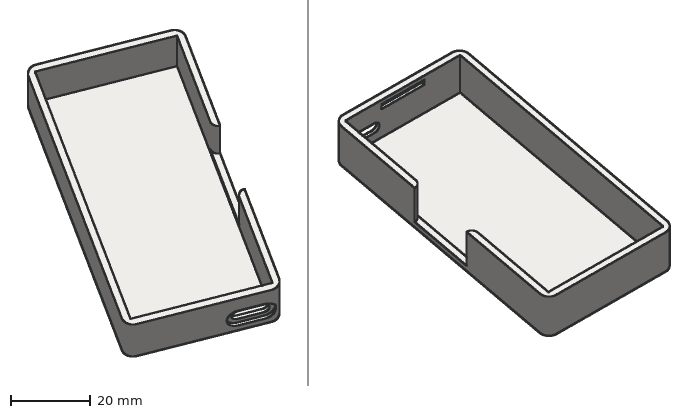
import cadquery as cq

length = 84.5
width = 41.5
height = 13.8
wall = 2.0
floor = 0.7
corner_radius = 2.95

notch_width = 20.5
notch_bottom = 1.95
notch_edge_radius = wall

port_length = 10.05
port_height = 3.3
port_y = 12.6
port_z = 5.3
port_web = 1.1
relief_margin = 1.5

groove_length = 14.0
groove_height = 1.7
groove_depth = 1.0
groove_y = -0.2
groove_z = 11.4

inner_length = length - 2 * wall
inner_width = width - 2 * wall
inner_x = inner_length / 2
inner_y = inner_width / 2


def make_tray():
    body = cq.Workplane("XY").box(length, width, height, centered=(True, True, False))
    body = body.edges("|Z").fillet(corner_radius)
    pocket = (
        cq.Workplane("XY")
        .workplane(offset=floor)
        .rect(inner_length, inner_width)
        .extrude(height - floor)
    )
    return body.cut(pocket)


def make_notch():
    """Opening that flares inward along arcs tangent to the inner wall face."""
    half = notch_width / 2
    flared_half = half + notch_edge_radius
    return (
        cq.Workplane("XY")
        .workplane(offset=notch_bottom)
        .moveTo(-half, width / 2)
        .radiusArc((-flared_half, inner_y), notch_edge_radius)
        .lineTo(flared_half, inner_y)
        .radiusArc((half, width / 2), notch_edge_radius)
        .close()
        .extrude(height - notch_bottom)
    )


def make_port_slot(start_x, margin):
    """Round-ended slot running outward from start_x through the outer face."""
    return (
        cq.Workplane("YZ", origin=(start_x, port_y, port_z))
        .slot2D(port_length + 2 * margin, port_height + 2 * margin)
        .extrude(wall)
    )


def make_groove():
    return (
        cq.Workplane("YZ", origin=(inner_x, groove_y, groove_z))
        .rect(groove_length, groove_height)
        .extrude(groove_depth)
    )


result = (
    make_tray()
    .cut(make_notch())
    .cut(make_port_slot(inner_x, 0))
    .cut(make_port_slot(inner_x + port_web, relief_margin))
    .cut(make_groove())
)